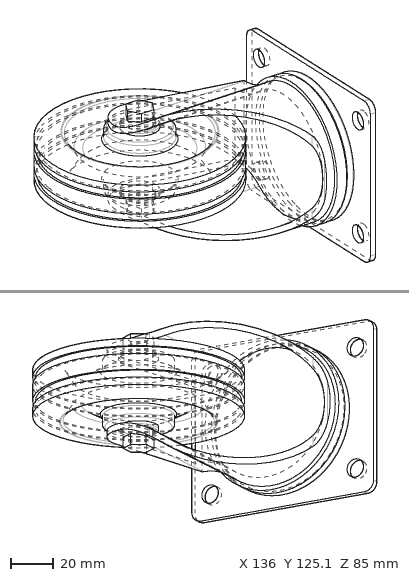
import cadquery as cq
import math


plate_length = 100.0
plate_width = 85.0
plate_thickness = 3.1
plate_corner_radius = 5.0
plate_back_y = 75.1
plate_front_y = plate_back_y - plate_thickness
bolt_hole_diameter = 9.0
bolt_spacing_x = 79.8
bolt_spacing_z = 59.8
swivel_x = 36.0

bearing_radius = 73.6 / 2
bearing_neck_radius = 35.5
bearing_neck_y = 69.0
bearing_shoulder_y = 67.7
fork_top_y = 62.2
upper_race_straight = 0.4

wall = 3.1
lid_thickness = 4.6
lid_bottom_y = fork_top_y - lid_thickness
arm_outer_z = 21.9
arm_inner_z = arm_outer_z - wall
arm_bend_x = -1.6
head_outer_radius = 34.8
fork_end_radius = 15.0
fork_left_top_x = -2.3
fork_slope_angle = math.radians(51.2)
fork_heel_radius = 7.9

wheel_radius = 100.0 / 2
groove_radius = 97.2 / 2
tread_half_width = 11.4
rim_half_width = 14.3
rim_shoulder_radius = 37.3
rim_lip_radius = 36.9
lip_depth = 0.7
recess_wall_radius = 35.6
recess_floor_radius = 31.0
recess_floor_z = 6.4
floor_arc_mid_radius = 29.1
floor_arc_mid_z = 5.2
web_outer_radius = 26.9
web_outer_z = 5.5
web_inner_z = 10.5
groove_inner_z = 4.0
groove_outer_z = 7.8

hub_radius = 34.1 / 2
hub_half_width = 16.7
hub_edge_radius = 1.2
hub_root_radius = 1.0
washer_radius = 19.0 / 2
washer_round = 0.7
spacer_radius = 15.0 / 2
spacer_end_z = 20.4
hex_across_flats = 12.5
hex_height = 5.5


def make_plate():
    """Rounded mounting plate with four through holes."""
    plate = (
        cq.Workplane("XY")
        .box(plate_length, plate_thickness, plate_width)
        .edges("|Y")
        .fillet(plate_corner_radius)
        .faces("<Y")
        .workplane(centerOption="CenterOfBoundBox")
        .rarray(bolt_spacing_x, bolt_spacing_z, 2, 2)
        .hole(bolt_hole_diameter)
    )
    return plate.translate((swivel_x, plate_back_y - plate_thickness / 2, 0))


def make_bearing():
    """Two bearing races that meet in a narrow neck."""
    race_y = plate_front_y - upper_race_straight
    rise = bearing_radius - bearing_neck_radius
    bulge_radius = bearing_neck_radius + 0.7 * rise
    profile = (
        cq.Workplane("XY")
        .moveTo(0, plate_front_y)
        .lineTo(bearing_radius, plate_front_y)
        .lineTo(bearing_radius, race_y)
        .threePointArc(
            (bulge_radius, (race_y + bearing_neck_y) / 2),
            (bearing_neck_radius, bearing_neck_y),
        )
        .threePointArc(
            (bulge_radius, (bearing_shoulder_y + bearing_neck_y) / 2),
            (bearing_radius, bearing_shoulder_y),
        )
        .lineTo(bearing_radius, fork_top_y)
        .lineTo(0, fork_top_y)
        .close()
    )
    return profile.revolve(360, (0, 0, 0), (0, 1, 0)).translate((swivel_x, 0, 0))


def make_horseshoe(arm_z, head_radius, bottom_y, top_y):
    """Solid with straight arms blending into a round head, extruded along Y."""
    run = swivel_x - arm_bend_x
    bend_radius = (run**2 + arm_z**2 - head_radius**2) / (2 * (head_radius - arm_z))
    bend_z = arm_z + bend_radius
    share = head_radius / (head_radius + bend_radius)
    tangent_x = swivel_x - share * run
    tangent_z = share * bend_z
    half_turn = math.atan2(run, bend_z) / 2
    mid_x = arm_bend_x + bend_radius * math.sin(half_turn)
    mid_z = bend_z - bend_radius * math.cos(half_turn)
    arm_end_x = -2 * fork_end_radius

    return (
        cq.Workplane("XZ", origin=(0, top_y, 0))
        .moveTo(arm_end_x, -arm_z)
        .lineTo(arm_bend_x, -arm_z)
        .threePointArc((mid_x, -mid_z), (tangent_x, -tangent_z))
        .threePointArc((swivel_x + head_radius, 0), (tangent_x, tangent_z))
        .threePointArc((mid_x, mid_z), (arm_bend_x, arm_z))
        .lineTo(arm_end_x, arm_z)
        .close()
        .extrude(top_y - bottom_y)
    )


def make_fork_side_profile():
    """Side outline of the fork, tapering from the lid to a round axle end."""
    heel_x = swivel_x + 2 * head_outer_radius
    corner_distance = math.hypot(fork_left_top_x, fork_top_y)
    left_angle = math.atan2(fork_top_y, fork_left_top_x) + math.acos(fork_end_radius / corner_distance)
    left_x = fork_end_radius * math.cos(left_angle)
    left_y = fork_end_radius * math.sin(left_angle)
    right_x = fork_end_radius * math.sin(fork_slope_angle)
    right_y = -fork_end_radius * math.cos(fork_slope_angle)
    corner_x = right_x + (lid_bottom_y - right_y) / math.tan(fork_slope_angle)
    heel_setback = fork_heel_radius * math.tan(fork_slope_angle / 2)
    slope_end = (
        corner_x - heel_setback * math.cos(fork_slope_angle),
        lid_bottom_y - heel_setback * math.sin(fork_slope_angle),
    )
    arc_center_x = corner_x + heel_setback
    arc_mid = (
        arc_center_x - fork_heel_radius * math.sin(fork_slope_angle / 2),
        lid_bottom_y - fork_heel_radius * (1 - math.cos(fork_slope_angle / 2)),
    )
    return (
        cq.Workplane("XY")
        .moveTo(fork_left_top_x, fork_top_y)
        .lineTo(left_x, left_y)
        .threePointArc((0, -fork_end_radius), (right_x, right_y))
        .lineTo(*slope_end)
        .threePointArc(arc_mid, (arc_center_x, lid_bottom_y))
        .lineTo(heel_x, lid_bottom_y)
        .lineTo(heel_x, fork_top_y)
        .close()
        .extrude(plate_width / 2, both=True)
    )


def make_fork():
    """Bent sheet fork: lid, curved back wall and two arms."""
    bottom_y = -2 * fork_end_radius
    outer = make_horseshoe(arm_outer_z, head_outer_radius, bottom_y, fork_top_y)
    inner = make_horseshoe(arm_inner_z, head_outer_radius - wall, bottom_y, lid_bottom_y)
    return outer.cut(inner).intersect(make_fork_side_profile())


def make_half_wheel():
    """Upper half of the wheel, hub, washer and spacer, revolved about Z."""
    corner_share = 1 - math.sqrt(0.5)
    root_top_z = web_inner_z + hub_root_radius
    washer_top_z = arm_inner_z
    lip_bulge = 0.3 * lip_depth
    return (
        cq.Workplane("XZ")
        .lineTo(wheel_radius, 0)
        .lineTo(wheel_radius, groove_inner_z)
        .lineTo(groove_radius, groove_inner_z)
        .lineTo(groove_radius, groove_outer_z)
        .lineTo(wheel_radius, groove_outer_z)
        .lineTo(wheel_radius, tread_half_width)
        .lineTo(rim_shoulder_radius, rim_half_width)
        .lineTo(rim_lip_radius, rim_half_width)
        .threePointArc(
            ((rim_lip_radius + recess_wall_radius) / 2, rim_half_width - lip_bulge),
            (recess_wall_radius, rim_half_width - lip_depth),
        )
        .lineTo(recess_floor_radius, recess_floor_z)
        .threePointArc((floor_arc_mid_radius, floor_arc_mid_z), (web_outer_radius, web_outer_z))
        .lineTo(hub_radius + hub_root_radius, web_inner_z)
        .threePointArc(
            (hub_radius + corner_share * hub_root_radius, web_inner_z + corner_share * hub_root_radius),
            (hub_radius, root_top_z),
        )
        .lineTo(hub_radius, hub_half_width - hub_edge_radius)
        .threePointArc(
            (hub_radius - corner_share * hub_edge_radius, hub_half_width - corner_share * hub_edge_radius),
            (hub_radius - hub_edge_radius, hub_half_width),
        )
        .lineTo(washer_radius, hub_half_width)
        .lineTo(washer_radius, washer_top_z - washer_round)
        .threePointArc(
            (washer_radius - corner_share * washer_round, washer_top_z - corner_share * washer_round),
            (washer_radius - washer_round, washer_top_z),
        )
        .lineTo(spacer_radius, washer_top_z)
        .lineTo(spacer_radius, spacer_end_z)
        .lineTo(0, spacer_end_z)
        .close()
        .revolve(360, (0, 0, 0), (0, 1, 0))
    )


def make_hex_head():
    """Hexagonal bolt head with two points along Y, seated in the arm."""
    across_corners = hex_across_flats / math.cos(math.pi / 6)
    head_top_z = arm_outer_z + hex_height
    return (
        cq.Workplane("XY", origin=(0, 0, spacer_end_z))
        .polygon(6, across_corners)
        .extrude(head_top_z - spacer_end_z)
        .rotate((0, 0, 0), (0, 0, 1), 90)
    )


result = make_plate().union(make_bearing()).union(make_fork())
for axle_part in (make_half_wheel(), make_hex_head()):
    result = result.union(axle_part).union(axle_part.mirror("XY"))